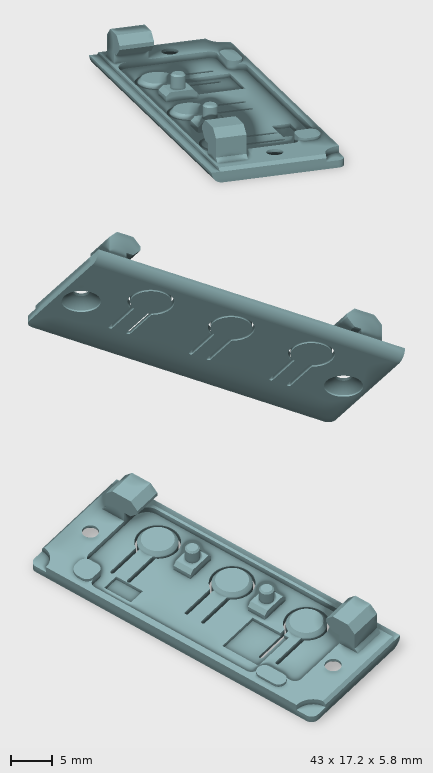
import cadquery as cq

length = 43.0
width = 17.2
total_height = 5.8
plate_top = 1.8
floor_z = 1.0
back_corner_radius = 1.0
side_chamfer = 0.4
ledge_width = 1.05
ledge_z = plate_top - side_chamfer

corner_cut_radius = 2.5
corner_cut_z = 0.95

recess_left = -16.75
recess_right = 16.25
recess_front = -7.2
recess_back = 7.7
recess_radius = 0.95
recess_front_radius = 1.98
pad_rise = 0.4
pad_top = plate_top + pad_rise
left_pad_length = 4.1
left_pad_width = 1.98
left_pad_right = -11.7
right_pad_size = 3.0
right_pad_outer_radius = 1.45

pocket_depth = 0.5
large_pocket_size = (5.45, 5.98)
large_pocket_center = (-8.13, 2.55)
small_pocket_size = (4.05, 2.35)
small_pocket_center = (9.8, 5.25)

button_pitch = 11.25
button_row_x = 0.15
button_y = -3.55
button_diameter = 5.0
button_face_diameter = 4.1
button_top = 1.5
gap_diameter = 5.65
slot_width = 0.5
slot_offset = 1.25
slot_end_y = 4.0

pin_diameter = 1.8
pin_top = 4.05
pin_chamfer = 0.2
pin_y = -3.05
block_length = 2.6
block_width = 4.05
block_bevel = 0.5

hole_diameter = 2.05
hole_x = 18.4
hole_y = 0.6
hole_neck_depth = 0.4
screw_head_diameter = 4.75
screw_head_rim = 0.2

hook_chamfer = 1.05
hook_reach = 2.0
hook_nose_flat = 0.5
hook_foot = 0.5
left_hook_post = 2.32
left_hook_width = 4.45
right_hook_post = 2.85
right_hook_width = 3.9


def box_between(x_range, y_range, z_range):
    """Box given by its limits along each axis."""
    size = [high - low for low, high in (x_range, y_range, z_range)]
    corner = (x_range[0], y_range[0], z_range[0])
    return cq.Workplane("XY").box(*size, centered=False).translate(corner)


def level(z):
    return cq.Workplane("XY").workplane(offset=z)


def make_plate():
    front = -width / 2
    back = width / 2
    body = (
        cq.Workplane("YZ")
        .workplane(offset=-length / 2)
        .moveTo(back, 0)
        .lineTo(front + ledge_z, 0)
        .radiusArc((front, ledge_z), ledge_z)
        .lineTo(front + ledge_width, ledge_z)
        .lineTo(front + ledge_width, plate_top)
        .lineTo(back, plate_top)
        .close()
        .extrude(length)
    )
    half = length / 2
    end_profile = (
        cq.Workplane("XZ")
        .workplane(offset=-back)
        .polyline([
            (-half, 0),
            (half, 0),
            (half, ledge_z),
            (half - side_chamfer, plate_top),
            (side_chamfer - half, plate_top),
            (-half, ledge_z),
        ])
        .close()
        .extrude(width)
    )
    body = body.intersect(end_profile)
    body = body.edges("|Z and >Y").fillet(back_corner_radius)
    corner_cuts = (
        level(corner_cut_z)
        .pushPoints([(-half, back), (half, back)])
        .circle(corner_cut_radius)
        .extrude(plate_top)
    )
    return body.cut(corner_cuts)


def make_recess():
    left_step_y = recess_back - left_pad_width
    right_step_x = recess_right - right_pad_size
    right_step_y = recess_back - right_pad_size
    recess = (
        level(floor_z)
        .polyline([
            (recess_left, recess_front),
            (recess_right, recess_front),
            (recess_right, right_step_y),
            (right_step_x, right_step_y),
            (right_step_x, recess_back),
            (left_pad_right, recess_back),
            (left_pad_right, left_step_y),
            (recess_left, left_step_y),
        ])
        .close()
        .extrude(plate_top)
    )
    stepped_corners = cq.selectors.BoxSelector(
        (-length, 0, 0), (length, width, total_height)
    )
    recess = recess.edges("|Z").edges(stepped_corners).fillet(recess_radius)
    return recess.edges("|Z and <Y").fillet(recess_front_radius)


def make_pads():
    left_pad = box_between(
        (left_pad_right - left_pad_length, left_pad_right),
        (recess_back - left_pad_width, recess_back),
        (floor_z, pad_top),
    )
    left_pad = left_pad.edges("|Z").fillet(recess_radius)
    right_pad = box_between(
        (recess_right - right_pad_size, recess_right),
        (recess_back - right_pad_size, recess_back),
        (floor_z, pad_top),
    )
    right_pad = right_pad.edges("|Z").edges(">X and >Y").fillet(right_pad_outer_radius)
    right_pad = right_pad.edges("|Z").edges("<X or <Y").fillet(recess_radius)
    return left_pad, right_pad


def make_pocket(size, center):
    return level(floor_z - pocket_depth).center(*center).rect(*size).extrude(plate_top)


def make_button_gap(x):
    """Ring gap and two round-ended slots around one button."""
    ring = cq.Workplane("XY").center(x, button_y).circle(gap_diameter / 2).extrude(plate_top)
    slots = (
        cq.Workplane("XY")
        .center(x, (slot_end_y + button_y) / 2)
        .pushPoints([(-slot_offset, 0), (slot_offset, 0)])
        .slot2D(slot_end_y - button_y, slot_width, 90)
        .extrude(plate_top)
    )
    return ring.union(slots)


def make_button(x):
    """Bevelled disc and the root of the tongue that carries it."""
    base = cq.Workplane("XY").center(x, button_y).circle(button_diameter / 2).extrude(floor_z)
    bevelled_face = (
        level(floor_z)
        .center(x, button_y)
        .circle(button_diameter / 2)
        .workplane(offset=button_top - floor_z)
        .circle(button_face_diameter / 2)
        .loft()
    )
    half_tongue = slot_offset - slot_width / 2
    tongue = box_between(
        (x - half_tongue, x + half_tongue),
        (button_y, button_y + gap_diameter / 2),
        (0, floor_z),
    )
    return base.union(bevelled_face).union(tongue)


def make_pin(x):
    """Locating pin on a block that is bevelled along its front and back."""
    block = box_between(
        (x - block_length / 2, x + block_length / 2),
        (pin_y - block_width / 2, pin_y + block_width / 2),
        (floor_z, pad_top),
    )
    block = block.faces(">Z").edges("|X").chamfer(block_bevel)
    pin = (
        level(floor_z)
        .center(x, pin_y)
        .circle(pin_diameter / 2)
        .extrude(pin_top - floor_z)
        .faces(">Z")
        .chamfer(pin_chamfer)
    )
    return block.union(pin)


def make_hook(inner_x, direction, post, hook_width):
    """Snap hook; its post runs from inner_x along direction (+1 or -1) and its nose points back."""
    nose_bottom = total_height - 2 * hook_chamfer - hook_nose_flat
    nose = -hook_reach
    profile = [
        (0, floor_z),
        (0, nose_bottom),
        (nose + hook_chamfer, nose_bottom),
        (nose, nose_bottom + hook_chamfer),
        (nose, total_height - hook_chamfer),
        (nose + hook_chamfer, total_height),
        (post - hook_chamfer, total_height),
        (post, total_height - hook_chamfer),
        (post, plate_top + hook_foot),
        (post + hook_foot, plate_top),
        (post + hook_foot, floor_z),
    ]
    points = [(inner_x + direction * offset, z) for offset, z in profile]
    return (
        cq.Workplane("XZ")
        .workplane(offset=-recess_front)
        .polyline(points)
        .close()
        .extrude(-hook_width)
    )


def make_screw_hole(x):
    """Hole that widens downward as a cone and ends in a short straight rim."""
    hole_radius = hole_diameter / 2
    head_radius = screw_head_diameter / 2
    return (
        cq.Workplane("XZ")
        .polyline([
            (0, 0),
            (head_radius, 0),
            (head_radius, screw_head_rim),
            (hole_radius, plate_top - hole_neck_depth),
            (hole_radius, plate_top),
            (0, plate_top),
        ])
        .close()
        .revolve(360, (0, 0), (0, 1))
        .translate((x, hole_y, 0))
    )


button_places = [button_row_x + step * button_pitch for step in (-1, 0, 1)]
pin_places = [button_row_x + step * button_pitch for step in (-0.5, 0.5)]

result = make_plate().cut(make_recess())
for pad in make_pads():
    result = result.union(pad)
result = result.cut(make_pocket(large_pocket_size, large_pocket_center))
result = result.cut(make_pocket(small_pocket_size, small_pocket_center))
for place in button_places:
    result = result.cut(make_button_gap(place)).union(make_button(place))
for place in pin_places:
    result = result.union(make_pin(place))
result = result.union(make_hook(recess_left, -1, left_hook_post, left_hook_width))
result = result.union(make_hook(recess_right, 1, right_hook_post, right_hook_width))

for x in (-hole_x, hole_x):
    result = result.cut(make_screw_hole(x))